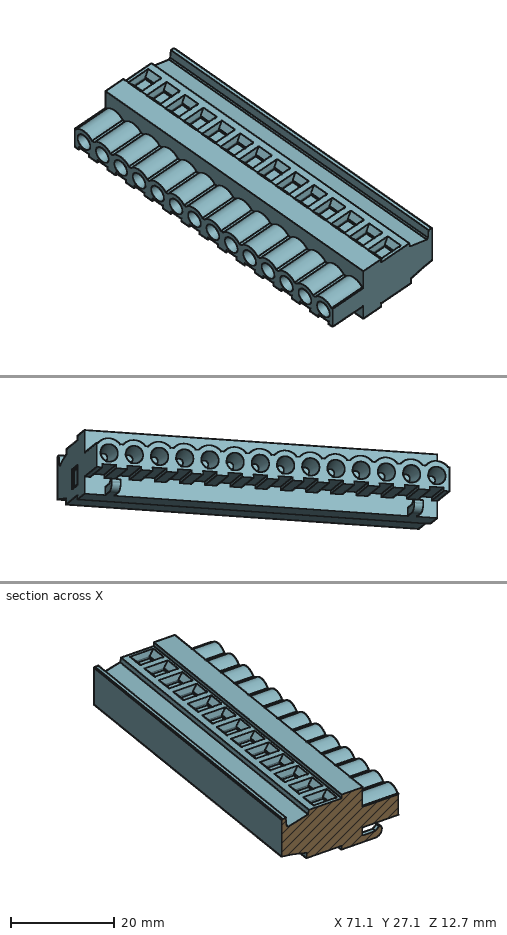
import cadquery as cq
import math

pole_count = 14
pole_pitch = 5.08
row_length = pole_count * pole_pitch
first_pole_x = pole_pitch / 2

overall_depth = 27.1
overall_height = 12.7

collar_front_y = 8.35
collar_rear_y = 13.25
collar_step = 0.86
deck_z = overall_height - collar_step
belly_z = collar_step

deck_rear_y = 20.85
deck_step_draft = 0.2
groove_high_z = 10.85
groove_low_z = 9.65
lip_thickness = 1.0
lip_draft = 0.2
lip_edge_chamfer = 0.2
groove_corner_chamfer = 0.3
belly_rear_y = 21.35
taper_high_z = 3.2
taper_knee_y = 24.6
taper_knee_z = 2.85
taper_low_z = 2.1

funnel_z = overall_height / 2
sleeve_radius = 2.9
web_top_z = 8.2
sleeve_bottom_z = 3.39
sleeve_notch_width = 2.8
sleeve_notch_height = 0.66
funnel_mouth_diameter = 3.5
funnel_throat_diameter = 1.6
funnel_depth = 4.0

window_width = 3.6
window_length = 5.45
window_front_y = 13.8
window_side_taper = 0.35
window_end_taper = 1.15
window_taper_depth = 1.2
window_floor_depth = 1.7

hook_width = 1.8
hook_poles_from_end = 1
hook_thickness = 1.65
hook_tip_y = 3.8
hook_bend_radius = 1.65
hook_nose_radius = 0.75

panel_front_y = 13.25
panel_length = 4.1
panel_bottom_z = 2.97
panel_height = 3.9
panel_rim_depth = 0.2
panel_side_rim = 0.45
panel_end_rim = 0.28
panel_depth = 0.4


def pole_positions():
    return [first_pole_x + index * pole_pitch for index in range(pole_count)]


def make_housing():
    lip_inner_y = overall_depth - lip_thickness
    lip_foot_y = lip_inner_y - lip_draft
    return (
        cq.Workplane("YZ")
        .moveTo(collar_front_y, 0)
        .lineTo(collar_rear_y, 0)
        .lineTo(collar_rear_y, belly_z)
        .lineTo(belly_rear_y, belly_z)
        .lineTo(belly_rear_y, taper_low_z)
        .lineTo(taper_knee_y, taper_knee_z)
        .lineTo(overall_depth, taper_high_z)
        .lineTo(overall_depth, deck_z - lip_edge_chamfer)
        .lineTo(overall_depth - lip_edge_chamfer, deck_z)
        .lineTo(lip_inner_y, deck_z)
        .lineTo(lip_foot_y, groove_low_z + groove_corner_chamfer)
        .lineTo(lip_foot_y - groove_corner_chamfer, groove_low_z)
        .lineTo(deck_rear_y + deck_step_draft, groove_high_z)
        .lineTo(deck_rear_y, deck_z)
        .lineTo(collar_rear_y, deck_z)
        .lineTo(collar_rear_y, overall_height)
        .lineTo(collar_front_y, overall_height)
        .close()
        .extrude(row_length)
    )


def make_sleeve_row():
    """Round-topped sleeves joined by a flat web, notched below each pole."""
    web = cq.Workplane("XY").box(
        row_length, collar_front_y, web_top_z - sleeve_bottom_z, centered=False
    ).translate((0, 0, sleeve_bottom_z))
    half_width = math.sqrt(sleeve_radius**2 - (web_top_z - funnel_z) ** 2)
    for x in pole_positions():
        crown = (
            cq.Workplane("XZ")
            .moveTo(x - half_width, web_top_z)
            .threePointArc((x, funnel_z + sleeve_radius), (x + half_width, web_top_z))
            .close()
            .extrude(-collar_front_y)
        )
        notch = cq.Workplane("XY").box(
            sleeve_notch_width, collar_front_y, sleeve_notch_height, centered=(True, False, False)
        ).translate((x, 0, sleeve_bottom_z))
        web = web.union(crown).cut(notch)
    return web


def make_funnel(x):
    return cq.Workplane(
        cq.Solid.makeCone(
            funnel_mouth_diameter / 2,
            funnel_throat_diameter / 2,
            funnel_depth,
            pnt=cq.Vector(x, 0, funnel_z),
            dir=cq.Vector(0, 1, 0),
        )
    )


def make_window(x):
    """Rectangular window that narrows downwards and ends in a straight-sided well."""
    floor_width = window_width - 2 * window_side_taper
    floor_length = window_length - 2 * window_end_taper
    centre = (x, window_front_y + window_length / 2, deck_z)
    mouth = (
        cq.Workplane("XY", origin=centre)
        .rect(window_width, window_length)
        .workplane(offset=-window_taper_depth)
        .rect(floor_width, floor_length)
        .loft(ruled=True)
    )
    well = cq.Workplane("XY", origin=centre).rect(floor_width, floor_length).extrude(-window_floor_depth)
    return mouth.union(well)


def make_hook(x):
    """Flat latch arm with an upturned, rounded nose, centred on x."""
    bend_y = hook_tip_y + hook_bend_radius
    bend_corner = hook_bend_radius * (1 - math.sqrt(0.5))
    nose_y = hook_tip_y + hook_nose_radius
    nose_top_z = hook_bend_radius + hook_nose_radius
    nose_corner = hook_nose_radius * math.sqrt(0.5)
    return (
        cq.Workplane("YZ", origin=(x - hook_width / 2, 0, 0))
        .moveTo(collar_front_y, 0)
        .lineTo(bend_y, 0)
        .threePointArc((hook_tip_y + bend_corner, bend_corner), (hook_tip_y, hook_bend_radius))
        .threePointArc((nose_y - nose_corner, hook_bend_radius + nose_corner), (nose_y, nose_top_z))
        .lineTo(bend_y, hook_thickness)
        .lineTo(collar_front_y, hook_thickness)
        .close()
        .extrude(hook_width)
    )


def make_end_panel():
    centre = (0, panel_front_y + panel_length / 2, panel_bottom_z + panel_height / 2)
    rim = cq.Workplane("YZ", origin=centre).rect(panel_length, panel_height).extrude(panel_rim_depth)
    field = (
        cq.Workplane("YZ", origin=centre)
        .rect(panel_length - 2 * panel_side_rim, panel_height - 2 * panel_end_rim)
        .extrude(panel_depth)
    )
    return rim.union(field)


result = make_housing().union(make_sleeve_row())
for pole_x in pole_positions():
    result = result.cut(make_funnel(pole_x)).cut(make_window(pole_x))

hook_offset = hook_poles_from_end * pole_pitch
for hook_x in (hook_offset, row_length - hook_offset):
    result = result.union(make_hook(hook_x))

result = result.cut(make_end_panel())